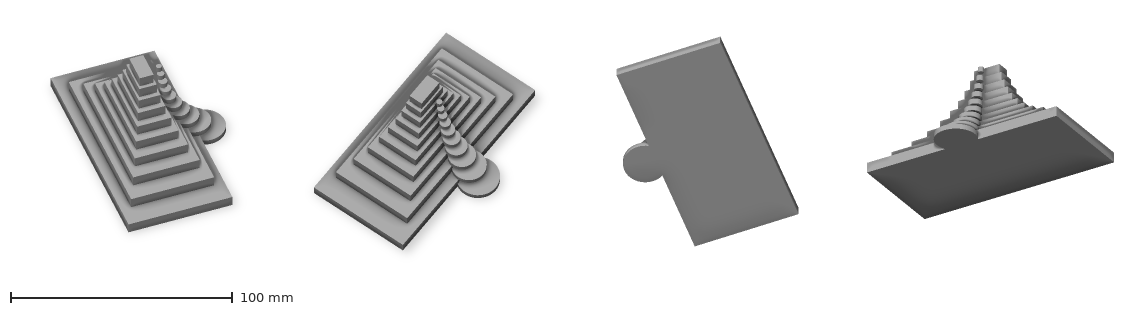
import cadquery as cq

tier_count = 10
step_ratio = 0.8
base_length = 100.0
base_width = base_length / 2
tier_height = 5.0

base_disc_diameter = 20.0
disc_thickness = tier_height / 2
disc_offset = 5.0

attached_disc_count = 6


def make_tier(level):
    """Rectangular tier, level 0 being the base."""
    scale = step_ratio**level
    return (
        cq.Workplane("XY", origin=(0, 0, level * tier_height))
        .rect(base_length * scale, base_width * scale)
        .extrude(tier_height)
    )


def make_disc(level):
    """Disc standing at the foot of a tier, on its +Y side."""
    scale = step_ratio**level
    axis_y = base_width * scale / 2 + disc_offset
    return (
        cq.Workplane("XY", origin=(0, axis_y, level * tier_height))
        .circle(base_disc_diameter * scale / 2)
        .extrude(disc_thickness)
    )


def make_pyramid():
    """All tiers, joined with the discs that cut into or rest on them."""
    pyramid = make_tier(0)
    for level in range(1, tier_count):
        pyramid = pyramid.union(make_tier(level))
    for level in range(attached_disc_count):
        pyramid = pyramid.union(make_disc(level))
    return pyramid


pyramid = make_pyramid()
free_discs = [make_disc(level).val() for level in range(attached_disc_count, tier_count)]

result = cq.Compound.makeCompound([pyramid.val(), *free_discs])